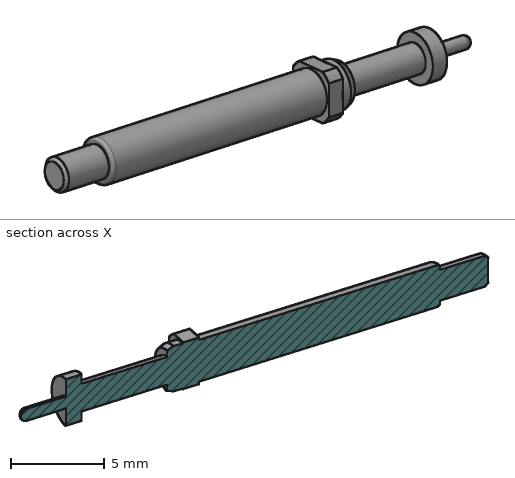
import cadquery as cq


plunger_diameter = 2.0
plunger_length = 3.0
plunger_chamfer = 0.2

barrel_diameter = 2.7
barrel_length = 15.0
barrel_fillet = 0.2

collar_length = 1.0
collar_across_flats = 3.0
collar_corner_diameter = 3.6

ring_diameter = 2.92
ring_length = 1.0
ring_taper_length = 0.4
ring_taper_depth = 0.16

shaft_diameter = 1.8
shaft_length = 5.3
flange_diameter = 3.0
flange_length = 1.0
pin_diameter = 0.8
pin_length = 2.8

barrel_end = -barrel_length
plunger_end = barrel_end - plunger_length
ring_start = collar_length
ring_end = ring_start + ring_length
flange_start = ring_end + shaft_length
flange_end = flange_start + flange_length
pin_end = flange_end + pin_length


def cylinder(diameter, start, end):
    """Cylinder on the Y axis between two stations, with start below end."""
    return cq.Workplane("XZ", origin=(0, start, 0)).circle(diameter / 2).extrude(start - end)


def wrench_collar():
    """Disc cut by four flats, leaving rounded corners between them."""
    disc = cylinder(collar_corner_diameter, 0, collar_length)
    square = (
        cq.Workplane("XZ")
        .rect(collar_across_flats, collar_across_flats)
        .extrude(-collar_length)
    )
    return disc.intersect(square)


def press_ring():
    """Ring with a conical taper at its rear end."""
    radius = ring_diameter / 2
    taper_start = ring_end - ring_taper_length
    profile = (
        cq.Workplane("XY")
        .moveTo(0, ring_start)
        .lineTo(radius, ring_start)
        .lineTo(radius, taper_start)
        .lineTo(radius - ring_taper_depth, ring_end)
        .lineTo(0, ring_end)
        .close()
    )
    return profile.revolve(360, (0, 0, 0), (0, 1, 0))


def tail_pin():
    """Thin pin with a hemispherical tip."""
    dome_center = pin_end - pin_diameter / 2
    shank = cylinder(pin_diameter, flange_end, dome_center)
    dome = cq.Workplane("XY", origin=(0, dome_center, 0)).sphere(pin_diameter / 2, direct=(0, 1, 0))
    return shank.union(dome)


plunger = cylinder(plunger_diameter, plunger_end, barrel_end).faces("<Y").chamfer(plunger_chamfer)
barrel = cylinder(barrel_diameter, barrel_end, 0).faces("<Y").edges().fillet(barrel_fillet)
shaft = cylinder(shaft_diameter, ring_end, flange_start)
flange = cylinder(flange_diameter, flange_start, flange_end)

result = (
    wrench_collar()
    .union(barrel)
    .union(plunger)
    .union(press_ring())
    .union(shaft)
    .union(flange)
    .union(tail_pin())
)